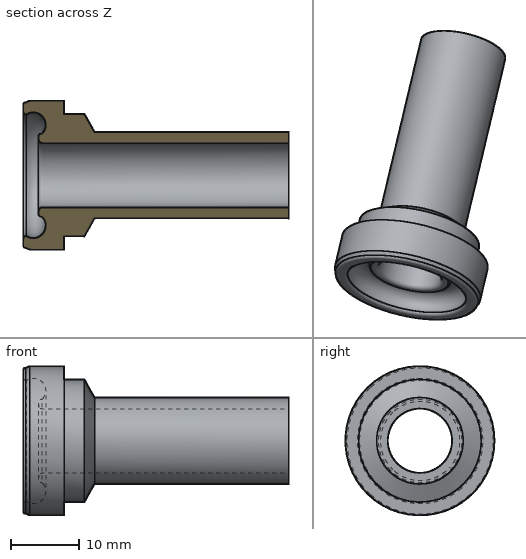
import cadquery as cq
import math

length = 39.0
tube_radius = 12.7 / 2
bore_radius = 9.4 / 2

flange_radius = 21.9 / 2
flange_back = 6.0
shoulder_radius = 18.0 / 2
shoulder_back = 9.0
cone_back = 10.5

taper_end = 0.98
rim_round = 0.4
taper_drop = 0.25
rim_inner_radius = 9.35
lip_round = 0.45

hub_recess = 2.25
hub_bore_round = 0.6
hub_outer_round = 0.5
hub_edge_radius = 5.8
hub_outer_radius = 6.12

groove_depth = 3.25
groove_middle_radius = 6.95

diagonal = math.sqrt(0.5)


def round_midpoint(center_x, center_radius, x_reach, radial_reach):
    """Middle point of a quarter-round edge, given its center and signed reaches."""
    return (center_x + x_reach * diagonal, center_radius + radial_reach * diagonal)


taper_front_radius = flange_radius - taper_drop
rim_face_radius = taper_front_radius - rim_round
lip_radius = rim_inner_radius - lip_round
hub_face_radius = bore_radius + hub_bore_round
hub_outer_x = hub_recess + hub_outer_round
hub_outer_drop = hub_outer_radius - hub_edge_radius

half_section = (
    cq.Workplane("XY")
    .moveTo(length, bore_radius)
    .lineTo(length, tube_radius)
    .lineTo(cone_back, tube_radius)
    .lineTo(shoulder_back, shoulder_radius)
    .lineTo(flange_back, shoulder_radius)
    .lineTo(flange_back, flange_radius)
    .lineTo(taper_end, flange_radius)
    .lineTo(rim_round, taper_front_radius)
    .threePointArc(
        round_midpoint(rim_round, rim_face_radius, -rim_round, rim_round),
        (0, rim_face_radius),
    )
    .lineTo(0, rim_inner_radius)
    .threePointArc(
        round_midpoint(lip_round, rim_inner_radius, -lip_round, -lip_round),
        (lip_round, lip_radius),
    )
    .threePointArc((groove_depth, groove_middle_radius), (hub_outer_x, hub_outer_radius))
    .threePointArc(
        round_midpoint(hub_outer_x, hub_edge_radius, -hub_outer_round, hub_outer_drop),
        (hub_recess, hub_edge_radius),
    )
    .lineTo(hub_recess, hub_face_radius)
    .threePointArc(
        round_midpoint(hub_recess + hub_bore_round, hub_face_radius, -hub_bore_round, -hub_bore_round),
        (hub_recess + hub_bore_round, bore_radius),
    )
    .close()
)

result = half_section.revolve(360, (0, 0, 0), (1, 0, 0)).translate((-length / 2, 0, 0))